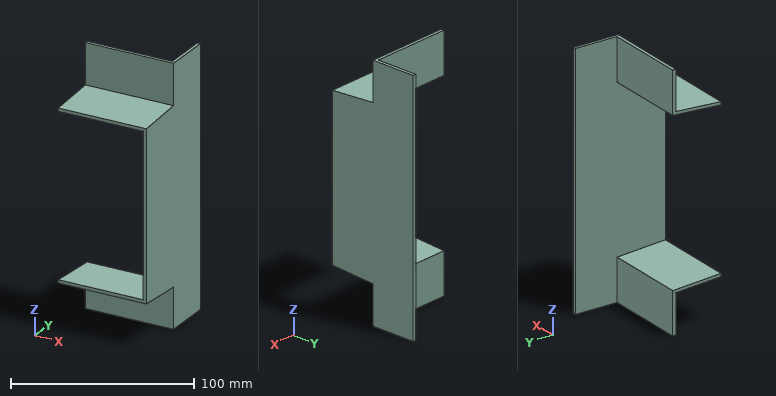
import cadquery as cq

width = 55.5
depth = 60.0
height = 160.0

sheet = 2.0
flange_sheet = 2.2
shelf_depth = 30.0
flange_height = 25.5
shelf_drop = 2.0

half_height = height / 2
front_y = -depth / 2
back_y = depth / 2
flange_front_y = front_y + shelf_depth
flange_back_y = flange_front_y + flange_sheet

shelf_root_z = half_height - flange_height
shelf_front_z = shelf_root_z - shelf_drop

inner_front_z = shelf_front_z - sheet
inner_root_z = shelf_root_z - sheet + shelf_drop * flange_sheet / shelf_depth


def extrude_profile(points, thickness):
    """Extrude a Y-Z outline inward from the +X side."""
    outline = cq.Workplane("YZ", origin=(width / 2, 0, 0)).polyline(points).close()
    return outline.extrude(-thickness)


side_plate = extrude_profile(
    [
        (back_y, -half_height),
        (back_y, half_height),
        (flange_front_y, half_height),
        (flange_front_y, shelf_root_z),
        (front_y, shelf_front_z),
        (front_y, -shelf_front_z),
        (flange_front_y, -shelf_root_z),
        (flange_front_y, -half_height),
    ],
    sheet,
)


def bent_bracket(side):
    """End flange and sloping shelf; side is +1 for the top, -1 for the bottom."""
    points = [
        (flange_back_y, half_height),
        (flange_front_y, half_height),
        (flange_front_y, shelf_root_z),
        (front_y, shelf_front_z),
        (front_y, inner_front_z),
        (flange_back_y, inner_root_z),
    ]
    return extrude_profile([(y, side * z) for y, z in points], width)


result = side_plate.union(bent_bracket(1)).union(bent_bracket(-1))